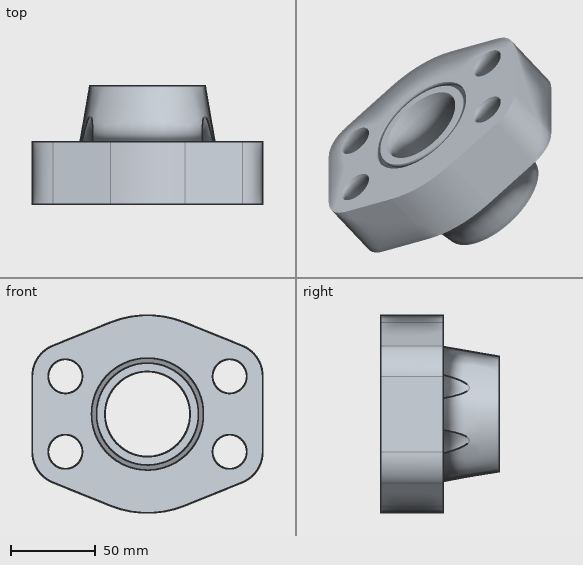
import cadquery as cq
import math

width = 136.0
height = 116.7
plate_thickness = 37.0
bolt_spacing_x = 96.8
bolt_spacing_z = 44.5
bolt_diameter = 20.0

total_depth = 70.0
neck_base_radius = 39.7
neck_end_radius = 34.0
bolt_clearance_radius = 16.2

bore_radius = 25.0
neck_bore_radius = 29.0
bore_taper_start = 30.0
bore_taper_angle = 45.0

groove_outer_radius = 33.0
groove_inner_radius = 30.0
groove_depth = 2.7

bolt_x = bolt_spacing_x / 2
bolt_z = bolt_spacing_z / 2
bolt_points = [(sx * bolt_x, sz * bolt_z) for sx in (-1, 1) for sz in (-1, 1)]


def plane_at(y):
    """XZ sketch plane at depth y, extruding towards +Y, with local y along +Z."""
    return cq.Workplane(cq.Plane(origin=(0, y, 0), xDir=(-1, 0, 0), normal=(0, 1, 0)))


def cylinders(radius, start, end, points=((0, 0),)):
    return plane_at(start).pushPoints(points).circle(radius).extrude(end - start)


def cone(start_radius, end_radius, start, end):
    origin = cq.Vector(0, start, 0)
    axis = cq.Vector(0, 1, 0)
    return cq.Workplane(cq.Solid.makeCone(start_radius, end_radius, end - start, pnt=origin, dir=axis))


def make_plate():
    """Central disc and four corner rounds about the bolts, joined by tangent lines."""
    disc_radius = height / 2
    corner_radius = width / 2 - bolt_x
    bolt_distance = math.hypot(bolt_x, bolt_z)
    normal_angle = math.atan2(bolt_z, bolt_x) + math.acos((disc_radius - corner_radius) / bolt_distance)
    nx = math.cos(normal_angle)
    nz = math.sin(normal_angle)
    disc_x = disc_radius * nx
    disc_z = disc_radius * nz
    corner_x = bolt_x + corner_radius * nx
    corner_z = bolt_z + corner_radius * nz
    mid_x = bolt_x + corner_radius * math.cos(normal_angle / 2)
    mid_z = bolt_z + corner_radius * math.sin(normal_angle / 2)
    return (
        plane_at(0)
        .moveTo(-disc_x, disc_z)
        .threePointArc((0, disc_radius), (disc_x, disc_z))
        .lineTo(corner_x, corner_z)
        .threePointArc((mid_x, mid_z), (width / 2, bolt_z))
        .lineTo(width / 2, -bolt_z)
        .threePointArc((mid_x, -mid_z), (corner_x, -corner_z))
        .lineTo(disc_x, -disc_z)
        .threePointArc((0, -disc_radius), (-disc_x, -disc_z))
        .lineTo(-corner_x, -corner_z)
        .threePointArc((-mid_x, -mid_z), (-width / 2, -bolt_z))
        .lineTo(-width / 2, bolt_z)
        .threePointArc((-mid_x, mid_z), (-corner_x, corner_z))
        .close()
        .extrude(plate_thickness)
    )


def make_neck():
    """Tapered neck, scalloped to clear the bolt heads."""
    taper = cone(neck_base_radius, neck_end_radius, plate_thickness, total_depth)
    return taper.cut(cylinders(bolt_clearance_radius, plate_thickness, total_depth, bolt_points))


def make_bore():
    """Straight bore opening through a taper into the wider bore of the neck."""
    taper_length = (neck_bore_radius - bore_radius) / math.tan(math.radians(bore_taper_angle))
    taper_end = bore_taper_start + taper_length
    return (
        cylinders(bore_radius, 0, bore_taper_start)
        .union(cone(bore_radius, neck_bore_radius, bore_taper_start, taper_end))
        .union(cylinders(neck_bore_radius, taper_end, total_depth))
    )


def make_seal_groove():
    outer = cylinders(groove_outer_radius, 0, groove_depth)
    return outer.cut(cylinders(groove_inner_radius, 0, groove_depth))


result = make_plate().union(make_neck())
result = result.cut(cylinders(bolt_diameter / 2, 0, plate_thickness, bolt_points))
result = result.cut(make_bore())
result = result.cut(make_seal_groove())